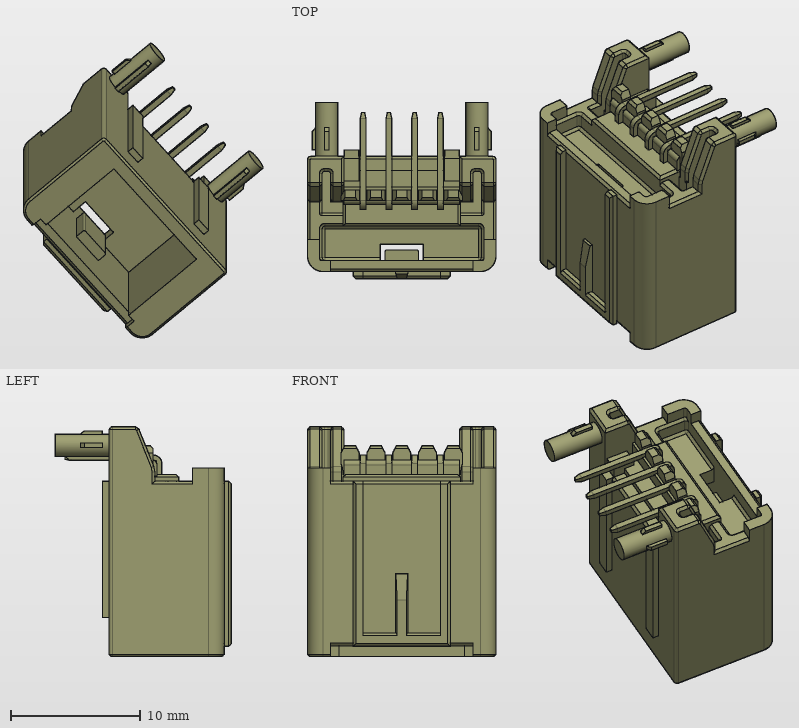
import cadquery as cq

shell_half_width = 7.307
shell_depth = 8.94
shell_top = 13.58
front_corner_radius = 1.21
back_corner_radius = 0.27
edge_bevel = 0.21
bottom_bevel = 0.18
wall = 0.87

tower_top = 14.61
tower_depth = 2.47
tower_inner_x = 5.52

trough_half_width = 6.15
trough_back = 3.52
trough_floor = 12.1
trough_corner_radius = 0.23
window_half_width = 1.65
window_back = 2.12
latch_half_width = 1.3
latch_corner_radius = 0.15
latch_back = 1.69
latch_bottom = 5.34
latch_top = 9.79

cavity_half_width = 4.88
cavity_back = 7.83
cavity_top = 10.68
notch_half_width = 5.52
notch_height = 0.82

wing_top = 17.8
wing_inner_x = 4.47
wing_top_front = 6.68
wing_foot_front = 5.38
wing_foot_top = 14.5
slot_outer_x = 6.15
slot_inner_x = 5.52
slot_back = 7.76
slot_front = 4.55
slot_floor = trough_floor
slot_corner_radius = 0.18

platform_half_width = 4.55
platform_top = 14.1
beam_front = 5.22
beam_back = 6.55
beam_top = 15.24
beam_round = 0.4
step_back = 7.83
end_block_inner_x = 3.31
end_block_front = 7.03
end_block_back = 8.78
end_block_top = 14.6

contact_count = 4
contact_pitch = 2.0
contact_width = 0.46
contact_thickness = 0.45
contact_front = 4.82
contact_top = 15.61
contact_bend_radius = 0.68
contact_foot = 13.17
contact_tip_start = 11.85
contact_tip = 12.34
contact_tip_width = 0.25
tooth_width = 1.42
tooth_crown_width = 0.84
tooth_front = 5.52
tooth_back = 6.34
tooth_shoulder = 15.77
tooth_top = 16.32

pad_back = 9.43
pad_bottom = 3.0

frame_half_width = 3.77
frame_thickness = 0.55
frame_bottom = 0.78
panel_half_width = 2.99
panel_bottom = 1.82
panel_bevel = 0.2
rib_base_width = 1.0
rib_taper = 15.0
rib_top = 6.45
ramp_bottom = 4.36
ramp_end_height = 0.18

post_x = 5.812
post_z = 16.35
post_radius = 0.87
post_end = 13.1
crush_width = 0.37
crush_height = 0.25
crush_start = 9.43
crush_end = 11.15
crush_ramp = 0.3
long_crush_end = 12.32


def block(x0, x1, y0, y1, z0, z1):
    """Box given by its two limits along each axis."""
    return cq.Workplane("XY").box(x1 - x0, y1 - y0, z1 - z0, centered=False).translate((x0, y0, z0))


def wide_block(half_width, y0, y1, z0, z1):
    """Box centred on the mirror plane."""
    return block(-half_width, half_width, y0, y1, z0, z1)


def side_profile(points, x0, x1):
    """Closed outline of (y, z) points, extruded from x0 to x1."""
    return cq.Workplane("YZ").polyline(points).close().extrude(x1 - x0).translate((x0, 0, 0))


def flare(cutter):
    """Bevel that widens a cutter, topped at the shell top, towards its upper face."""
    rim = cutter.faces(">Z").wires().val().translate(cq.Vector(0, 0, -edge_bevel))
    return cq.Workplane(rim).toPending().extrude(edge_bevel, taper=-45)


def both_sides(solid):
    return solid.union(solid.mirror("YZ"))


def make_shell():
    shell = wide_block(shell_half_width, 0, shell_depth, 0, tower_top)
    shell = shell.edges("|Z and <Y").fillet(front_corner_radius)
    shell = shell.edges("|Z and >Y").fillet(back_corner_radius)
    shell = shell.faces("<Z").chamfer(bottom_bevel)
    shell = shell.cut(wide_block(shell_half_width, tower_depth, shell_depth, shell_top, tower_top))
    shell = shell.cut(wide_block(tower_inner_x, 0, tower_depth, shell_top, tower_top))
    side_rim = cq.selectors.BoxSelector(
        (-shell_half_width - 0.18, tower_depth + 0.18, shell_top - 0.18),
        (shell_half_width + 0.18, shell_depth - back_corner_radius - 0.18, shell_top + 0.18),
    )
    shell = shell.edges("|Y").edges(side_rim).chamfer(edge_bevel)
    front_rim = cq.selectors.BoxSelector((-0.18, -0.18, shell_top - 0.18), (0.18, 0.18, shell_top + 0.18))
    shell = shell.edges("|X").edges(front_rim).chamfer(edge_bevel)
    return shell


def make_trough():
    """Rounded trough with a bevelled floor and a rim flared at its sides and back."""
    trough = wide_block(trough_half_width, wall, trough_back, trough_floor, shell_top)
    trough = trough.edges("|Z").fillet(trough_corner_radius)
    rim = flare(trough).cut(wide_block(shell_half_width, 0, wall, trough_floor, tower_top))
    trough = trough.faces("<Z").chamfer(edge_bevel).union(rim)
    upper = wide_block(trough_half_width + edge_bevel, wall, tower_depth, shell_top, tower_top)
    upper = upper.edges("|Z and <Y").fillet(edge_bevel)
    trough = trough.union(upper)
    window = wide_block(window_half_width, wall, window_back, cavity_top, shell_top)
    return trough.union(window)


def make_cavity():
    cavity = wide_block(cavity_half_width, wall, cavity_back, 0, cavity_top)
    notch = wide_block(notch_half_width, 0, wall, 0, notch_height)
    notch_bevel = side_profile(
        [(0, notch_height), (0, notch_height + edge_bevel), (edge_bevel, notch_height)],
        -notch_half_width,
        notch_half_width,
    )
    return cavity.union(notch).union(notch_bevel)


def make_latch():
    """Lock block on the inside of the front wall, below the window."""
    latch = wide_block(latch_half_width, wall, latch_back, latch_bottom, latch_top)
    return latch.edges("|Z and >Y").fillet(latch_corner_radius)


def make_wing():
    """Left wing: a sloped block split by an open slot."""
    outline = [
        (shell_depth, slot_floor),
        (shell_depth, wing_top),
        (wing_top_front, wing_top),
        (wing_foot_front, wing_foot_top),
        (wing_foot_front, slot_floor),
    ]
    wing = side_profile(outline, -shell_half_width, -wing_inner_x)
    wing = wing.edges("|Z and >Y").edges("<X").fillet(back_corner_radius)
    slot = block(-slot_outer_x, -slot_inner_x, 0, slot_back, slot_floor, wing_top)
    wing = wing.cut(slot.edges("|Z and >Y").fillet(slot_corner_radius))
    return wing.faces(">Z or <Y or (#X and (not #Y) and (not #Z))").edges().chamfer(edge_bevel)


def make_slot():
    """Lower run of the left wing slot, turning inwards ahead of the inner leg."""
    run = block(-slot_outer_x, -slot_inner_x, slot_front, slot_back, slot_floor, shell_top)
    run = run.edges("|Z and >Y").fillet(slot_corner_radius)
    turn = block(-slot_outer_x, -wing_inner_x, slot_front, wing_foot_front, slot_floor, shell_top)
    slot = run.union(turn).clean()
    return slot.union(flare(slot))


def make_contact_seat():
    platform = wide_block(platform_half_width, trough_back, beam_back, trough_floor, platform_top)
    platform = platform.faces(">Z").edges("<Y or |Y").chamfer(edge_bevel)
    beam = wide_block(wing_inner_x, beam_front, beam_back, trough_floor, beam_top)
    beam = beam.faces(">Z").edges("<Y").fillet(beam_round)
    step = wide_block(wing_inner_x, beam_back, step_back, trough_floor, platform_top)
    end_block = block(
        -wing_inner_x, -end_block_inner_x, end_block_front, end_block_back, trough_floor, end_block_top
    )
    return platform.union(beam).union(step).union(both_sides(end_block))


def make_tooth(x):
    half_base = tooth_width / 2
    half_crown = tooth_crown_width / 2
    outline = [
        (-half_base, platform_top),
        (-half_base, tooth_shoulder),
        (-half_crown, tooth_top),
        (half_crown, tooth_top),
        (half_base, tooth_shoulder),
        (half_base, platform_top),
    ]
    tooth = cq.Workplane("XZ").polyline(outline).close().extrude(tooth_front - tooth_back)
    tooth = tooth.faces(">Z").edges("<Y").chamfer(edge_bevel)
    return tooth.translate((x, tooth_front, 0))


def make_contact(x):
    """Square wire rising from the platform, bent back and pointed at its tip."""
    leg_and_arm = [
        (contact_front, contact_foot),
        (contact_front, contact_top),
        (contact_tip_start, contact_top),
        (contact_tip_start, contact_top - contact_thickness),
        (contact_front + contact_thickness, contact_top - contact_thickness),
        (contact_front + contact_thickness, contact_foot),
    ]
    contact = side_profile(leg_and_arm, -contact_width / 2, contact_width / 2)
    contact = contact.edges("|X and >Z and <Y").fillet(contact_bend_radius)
    tip = (
        cq.Workplane("XZ", origin=(0, contact_tip_start, contact_top - contact_thickness / 2))
        .rect(contact_width, contact_thickness)
        .workplane(offset=contact_tip_start - contact_tip)
        .rect(contact_tip_width, contact_tip_width)
        .loft()
    )
    return contact.union(tip).translate((x, 0, 0))


def make_pad():
    return block(-wing_inner_x, -end_block_inner_x, cavity_back, pad_back, pad_bottom, shell_top)


def make_frame():
    frame = wide_block(frame_half_width, -frame_thickness, 0, frame_bottom, shell_top)
    frame = frame.faces("<Y").edges().chamfer(edge_bevel)
    panel = wide_block(panel_half_width, -frame_thickness, 0, panel_bottom, shell_top)
    sill_bevel = side_profile(
        [
            (-frame_thickness, panel_bottom),
            (-frame_thickness, panel_bottom - panel_bevel),
            (panel_bevel - frame_thickness, panel_bottom),
        ],
        -panel_half_width,
        panel_half_width,
    )
    return frame.cut(panel).cut(sill_bevel).union(make_rib())


def make_rib():
    """Tapered centre rib whose upper end ramps down to the panel."""
    rib_length = rib_top - frame_bottom
    rib = (
        cq.Workplane("XZ", origin=(0, 0, frame_bottom + rib_length / 2))
        .rect(rib_base_width, rib_length)
        .extrude(frame_thickness, taper=rib_taper)
    )
    foot = wide_block(rib_base_width, -frame_thickness, 0, 0, panel_bottom - panel_bevel)
    above_ramp = side_profile(
        [(-frame_thickness, ramp_bottom), (-frame_thickness, rib_top), (-ramp_end_height, rib_top)],
        -rib_base_width,
        rib_base_width,
    )
    return rib.cut(foot).cut(above_ramp)


def make_crush_rib(start, end):
    """Rib on the top of a post lying along Y, ramped at its free end."""
    height = post_radius + crush_height
    outline = [(start, 0), (start, height), (end - crush_ramp, height), (end, post_radius), (end, 0)]
    return side_profile(outline, -crush_width / 2, crush_width / 2)


def make_post():
    """Left post with crush ribs above, outside and below."""
    post = cq.Workplane("XZ").circle(post_radius).extrude(cavity_back - post_end)
    post = post.translate((0, cavity_back, 0))
    top_rib = make_crush_rib(crush_start, crush_end)
    outer_rib = top_rib.rotate((0, 0, 0), (0, 1, 0), -90)
    bottom_rib = make_crush_rib(shell_depth, long_crush_end).rotate((0, 0, 0), (0, 1, 0), 180)
    return post.union(top_rib).union(outer_rib).union(bottom_rib).translate((-post_x, 0, post_z))


result = make_shell().cut(make_trough()).cut(make_cavity())
result = result.cut(both_sides(make_slot()))
result = result.union(both_sides(make_wing()))
result = result.union(make_contact_seat())
result = result.union(make_latch())
result = result.union(both_sides(make_pad()))
result = result.union(make_frame())
result = result.union(both_sides(make_post()))

for index in range(contact_count + 1):
    result = result.union(make_tooth((index - contact_count / 2) * contact_pitch))
for index in range(contact_count):
    result = result.union(make_contact((index - (contact_count - 1) / 2) * contact_pitch))